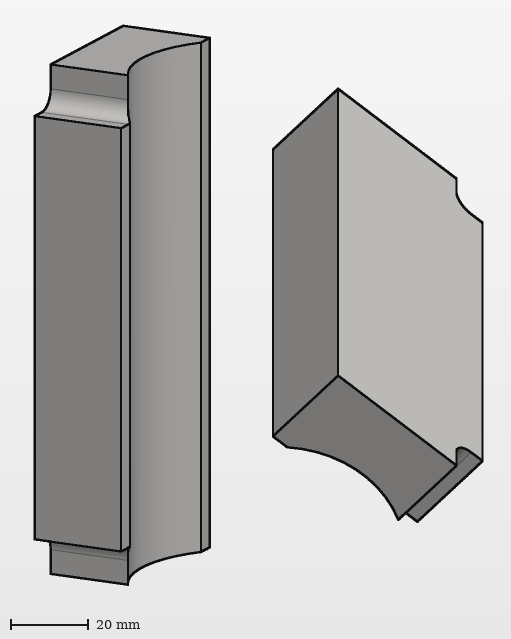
import cadquery as cq

thickness = 25.0
width = 50.0
height = 136.0

saddle_radius = 32.5
saddle_depth = 6.85

step_depth = 9.0
step_height = 11.5
step_fillet = 5.0


def make_block():
    return cq.Workplane("XY").box(thickness, width, height)


def make_saddle_cutter():
    axis_x = thickness / 2 - saddle_depth + saddle_radius
    return (
        cq.Workplane("XY")
        .center(axis_x, 0)
        .circle(saddle_radius)
        .extrude(height / 2, both=True)
    )


def make_step_cutter(end):
    """Step cutter at the top (end = 1) or the bottom (end = -1), rounded along its inner edge."""
    front_y = -width / 2
    wall_y = front_y + step_depth
    end_z = end * height / 2
    shelf_z = end_z - end * step_height
    return (
        cq.Workplane("YZ")
        .moveTo(front_y, end_z)
        .lineTo(wall_y, end_z)
        .lineTo(wall_y, shelf_z + end * step_fillet)
        .tangentArcPoint((wall_y - step_fillet, shelf_z), relative=False)
        .lineTo(front_y, shelf_z)
        .close()
        .extrude(thickness / 2, both=True)
    )


result = make_block().cut(make_saddle_cutter())
for end in (1, -1):
    result = result.cut(make_step_cutter(end))